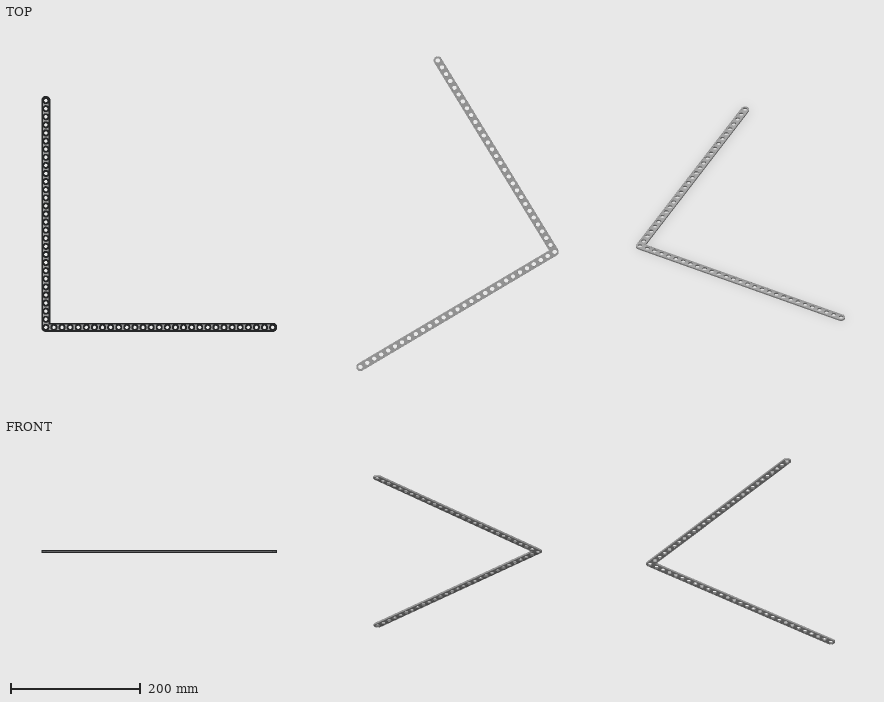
import cadquery as cq
arm_length = 362.5
holes_per_arm = 29
edge_chamfer = 0.3
rim_width = 1.12
panel_depth = 0.2
bore_diameter = 7.0
ledge_width = 1.15
ledge_depth = 0.3

pitch = arm_length / holes_per_arm
thickness = pitch / 4
hole_span = arm_length - pitch
recess_diameter = bore_diameter + 2 * ledge_width

hole_centres = [(0, 0)]
for step in range(1, holes_per_arm):
    hole_centres.append((step * pitch, 0))
    hole_centres.append((0, step * pitch))


def angle_plate(width, bottom, height):
    """L-shaped plate: two round-ended bars of the given width that share the corner hole."""
    length = hole_span + width
    middle = hole_span / 2
    base = cq.Workplane("XY", origin=(0, 0, bottom))
    x_arm = base.center(middle, 0).slot2D(length, width).extrude(height)
    y_arm = base.center(0, middle).slot2D(length, width, 90).extrude(height)
    return x_arm.union(y_arm)


def discs_at_holes(diameter, bottom, height):
    """One cylinder at every hole centre."""
    return (
        cq.Workplane("XY", origin=(0, 0, bottom))
        .pushPoints(hole_centres)
        .circle(diameter / 2)
        .extrude(height)
    )


body = angle_plate(pitch, 0, thickness).faces("<Z or >Z").edges().chamfer(edge_chamfer)

panel_width = pitch - 2 * rim_width
for panel_bottom, recess_bottom in ((0, 0), (thickness - panel_depth, thickness - ledge_depth)):
    body = body.cut(angle_plate(panel_width, panel_bottom, panel_depth))
    body = body.cut(discs_at_holes(recess_diameter, recess_bottom, ledge_depth))

result = body.cut(discs_at_holes(bore_diameter, 0, thickness)).solids()